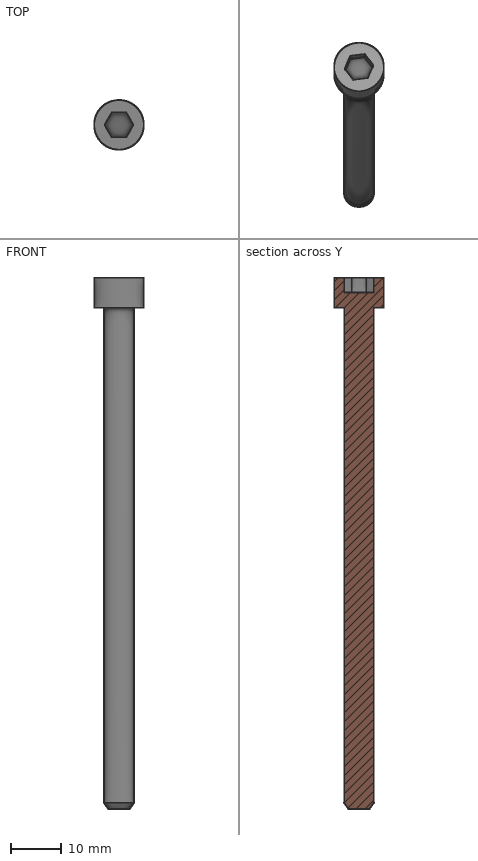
import cadquery as cq
import math

total_length = 106.0
head_diameter = 10.0
head_height = 6.0
shank_diameter = 6.0

tip_diameter = 4.2
tip_height = 1.3

socket_across_flats = 5.0
socket_depth = 3.0
socket_across_corners = socket_across_flats / math.cos(math.radians(30))

thread_length = 24.0

shank_length = total_length - head_height


def make_body():
    """Shank with a tapered tip at Z = 0, joined to the head above it."""
    head_radius = head_diameter / 2
    shank_radius = shank_diameter / 2
    profile = (
        cq.Workplane("XZ")
        .moveTo(0, 0)
        .lineTo(tip_diameter / 2, 0)
        .lineTo(shank_radius, tip_height)
        .lineTo(shank_radius, thread_length)
        .lineTo(shank_radius, shank_length)
        .lineTo(head_radius, shank_length)
        .lineTo(head_radius, total_length)
        .lineTo(0, total_length)
        .close()
    )
    return profile.revolve(360, (0, 0, 0), (0, 1, 0), clean=False)


def make_socket():
    """Hexagonal prism with two corners on the X axis, open at the head's top."""
    return (
        cq.Workplane("XY", origin=(0, 0, total_length))
        .polygon(6, socket_across_corners)
        .extrude(-socket_depth)
    )


result = make_body().cut(make_socket(), clean=False)